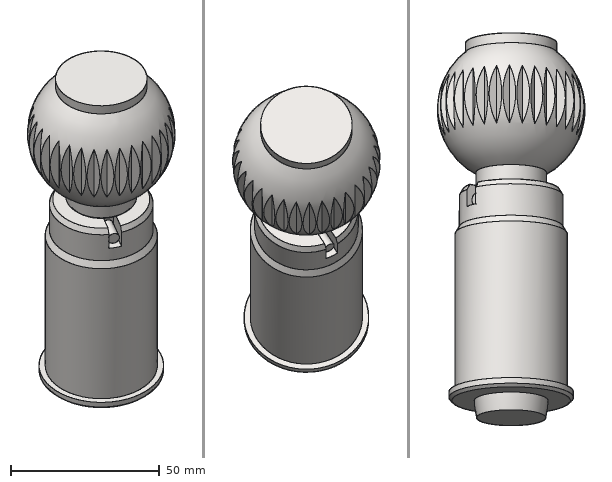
import cadquery as cq
import math

TOTAL_HEIGHT = 130.0

FLANGE_BOTTOM = 6.0
FLANGE_TOP = 9.0
FLANGE_RADIUS = 21.0
FLANGE_CHAMFER = 1.0
BODY_RADIUS = 19.0
SHOULDER_BOTTOM = 63.8
SHOULDER_TOP = 66.2
RIM_RADIUS = 17.5
RIM_CHAMFER_WIDTH = 1.2
RIM_CHAMFER_HEIGHT = 2.0
SLEEVE_TOP = 79.0

SLOT_WIDTH = 4.4
SLOT_DEPTH = 7.8
CROSS_PIN_DIAMETER = 4.0
CROSS_PIN_LENGTH = 31.0
CROSS_PIN_HEIGHT = 73.6

BALL_RADIUS = 25.0
BALL_CENTER = 107.0
CAP_RADIUS = 15.5
NECK_RADIUS = 12.0
NECK_CHAMFER = 1.0
SHAFT_RADIUS = 7.5
NOSE_BASE_RADIUS = 12.5
NOSE_MIDDLE_RADIUS = 12.2
NOSE_TIP_RADIUS = 11.7

GROOVE_COUNT = 33
GROOVE_ROOT_RADIUS = 22.9
GROOVE_ANGLE = 95.0
CUTTER_OVERSHOOT = 1.3


def revolve_about_z(profile):
    """Revolve a closed radius/height profile one full turn about Z."""
    return profile.close().revolve(360, (0, 0, 0), (0, 1, 0))


def ball_height_at(radius):
    """Height above or below the ball centre where the ball has this radius."""
    return math.sqrt(BALL_RADIUS**2 - radius**2)


def make_cross_pin():
    """Round bar lying along X, centred on the axis of the part."""
    return (
        cq.Workplane("YZ", origin=(-CROSS_PIN_LENGTH / 2, 0, CROSS_PIN_HEIGHT))
        .circle(CROSS_PIN_DIAMETER / 2)
        .extrude(CROSS_PIN_LENGTH)
    )


def make_sleeve():
    """Flanged sleeve with a stepped top, a straight bore and a slot across its rim."""
    profile = (
        cq.Workplane("XZ")
        .moveTo(SHAFT_RADIUS, FLANGE_BOTTOM)
        .lineTo(FLANGE_RADIUS - FLANGE_CHAMFER, FLANGE_BOTTOM)
        .lineTo(FLANGE_RADIUS, FLANGE_BOTTOM + FLANGE_CHAMFER)
        .lineTo(FLANGE_RADIUS, FLANGE_TOP)
        .lineTo(BODY_RADIUS, FLANGE_TOP)
        .lineTo(BODY_RADIUS, SHOULDER_BOTTOM)
        .lineTo(RIM_RADIUS, SHOULDER_TOP)
        .lineTo(RIM_RADIUS, SLEEVE_TOP - RIM_CHAMFER_HEIGHT)
        .lineTo(RIM_RADIUS - RIM_CHAMFER_WIDTH, SLEEVE_TOP)
        .lineTo(SHAFT_RADIUS, SLEEVE_TOP)
    )
    slot = cq.Workplane("XY", origin=(0, 0, SLEEVE_TOP - SLOT_DEPTH)).box(
        2 * BODY_RADIUS, SLOT_WIDTH, SLOT_DEPTH, centered=(True, True, False)
    )
    return revolve_about_z(profile).cut(slot)


def make_groove_cutters():
    """One V-shaped wedge per grip groove, the first one opening toward +X."""
    reach = BALL_RADIUS + CUTTER_OVERSHOOT - GROOVE_ROOT_RADIUS
    half_width = reach * math.tan(math.radians(GROOVE_ANGLE / 2))
    wedge = (
        cq.Workplane("XY", origin=(0, 0, BALL_CENTER - BALL_RADIUS))
        .moveTo(GROOVE_ROOT_RADIUS, 0)
        .lineTo(GROOVE_ROOT_RADIUS + reach, -half_width)
        .lineTo(GROOVE_ROOT_RADIUS + reach, half_width)
        .close()
        .extrude(2 * BALL_RADIUS)
    )
    step = 360 / GROOVE_COUNT
    return [wedge.rotate((0, 0, 0), (0, 0, 1), i * step) for i in range(GROOVE_COUNT)]


def make_plunger():
    """Ball knob with its neck, shaft, nose and cross pin as one solid."""
    profile = (
        cq.Workplane("XZ")
        .moveTo(0, 0)
        .lineTo(NOSE_TIP_RADIUS, 0)
        .threePointArc((NOSE_MIDDLE_RADIUS, FLANGE_BOTTOM / 2), (NOSE_BASE_RADIUS, FLANGE_BOTTOM))
        .lineTo(SHAFT_RADIUS, FLANGE_BOTTOM)
        .lineTo(SHAFT_RADIUS, SLEEVE_TOP)
        .lineTo(NECK_RADIUS - NECK_CHAMFER, SLEEVE_TOP)
        .lineTo(NECK_RADIUS, SLEEVE_TOP + NECK_CHAMFER)
        .lineTo(NECK_RADIUS, BALL_CENTER - ball_height_at(NECK_RADIUS))
        .threePointArc(
            (BALL_RADIUS, BALL_CENTER),
            (CAP_RADIUS, BALL_CENTER + ball_height_at(CAP_RADIUS)),
        )
        .lineTo(CAP_RADIUS, TOTAL_HEIGHT)
        .lineTo(0, TOTAL_HEIGHT)
    )
    plunger = revolve_about_z(profile)
    for cutter in make_groove_cutters():
        plunger = plunger.cut(cutter)
    return plunger.union(make_cross_pin())


sleeve = make_sleeve()
plunger = make_plunger()

result = cq.Compound.makeCompound([sleeve.val(), plunger.val()])